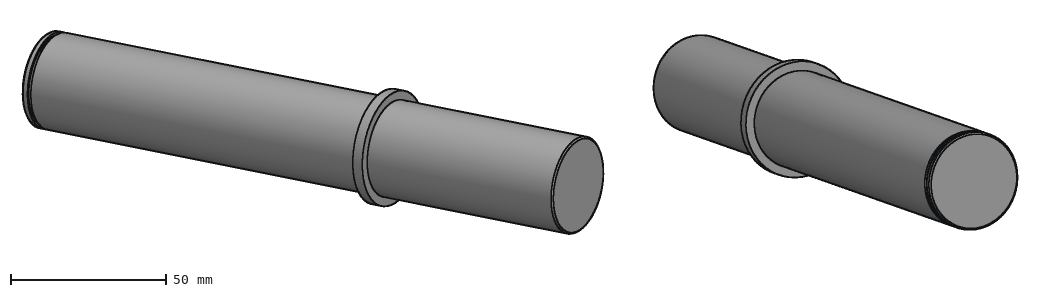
import cadquery as cq

length = 200.7
shaft_diameter = 32.0
end_chamfer = 0.56

collar_diameter = 38.0
collar_start = 127.0
collar_width = 3.6

groove_start = 2.2
groove_width = 1.3
groove_depth = 0.8

left_end = -length / 2


def disc(offset, width, diameter):
    """Solid disc on the X axis, starting at an offset from the left end."""
    start = left_end + offset
    half_section = (
        cq.Workplane("XZ")
        .moveTo(start, 0)
        .lineTo(start, diameter / 2)
        .lineTo(start + width, diameter / 2)
        .lineTo(start + width, 0)
        .close()
    )
    return half_section.revolve(360, (0, 0, 0), (1, 0, 0))


def retaining_ring_groove():
    """Ring of material to remove for the groove."""
    outer = disc(groove_start, groove_width, collar_diameter)
    core = disc(groove_start, groove_width, shaft_diameter - 2 * groove_depth)
    return outer.cut(core)


shaft = disc(0, length, shaft_diameter)
shaft = shaft.faces("<X or >X").chamfer(end_chamfer)
collar = disc(collar_start, collar_width, collar_diameter)

result = shaft.union(collar).cut(retaining_ring_groove())